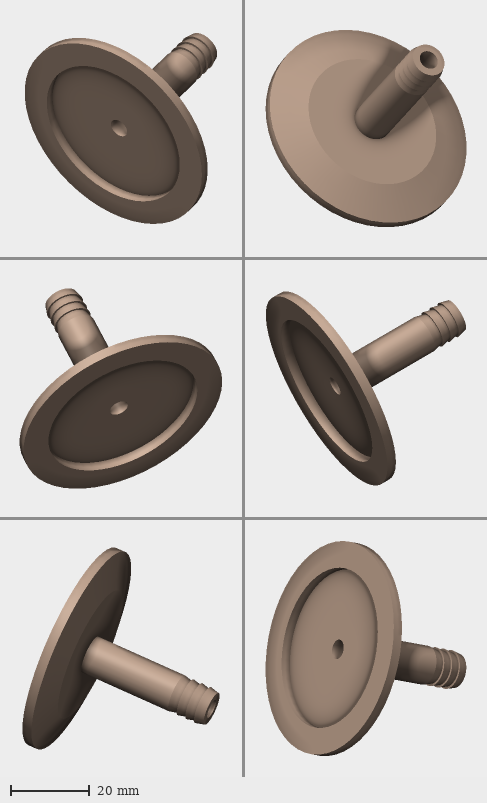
import cadquery as cq
import math

flange_diameter = 55.0
total_length = 40.0

rim_thickness = 2.6
flange_thickness = 5.15
flange_taper_angle = 15.0
recess_diameter = 41.25
recess_depth = 2.6

stem_diameter = 10.0
bore_diameter = 5.0
barb_count = 4
barb_length = 2.5
barb_tip_diameter = 8.8

flange_radius = flange_diameter / 2
stem_radius = stem_diameter / 2
barb_tip_radius = barb_tip_diameter / 2
taper_run = (flange_thickness - rim_thickness) / math.tan(math.radians(flange_taper_angle))
flange_back_radius = flange_radius - taper_run
barbs_start = total_length - barb_count * barb_length


def body_profile():
    """Half section of the solid body as (radius, Y) points, from the flange face to the stem tip."""
    points = [
        (0, 0),
        (flange_radius, 0),
        (flange_radius, rim_thickness),
        (flange_back_radius, flange_thickness),
        (stem_radius, flange_thickness),
        (stem_radius, barbs_start),
    ]
    for barb in range(barb_count):
        barb_base = barbs_start + barb * barb_length
        if barb > 0:
            points.append((stem_radius, barb_base))
        points.append((barb_tip_radius, barb_base + barb_length))
    points.append((0, total_length))
    return points


def cylinder_along_y(diameter, length):
    """Cylinder on the Y axis, starting at the flange face."""
    return cq.Workplane("XZ").circle(diameter / 2).extrude(-length)


body = cq.Workplane("XY").polyline(body_profile()).close().revolve(360, (0, 0, 0), (0, 1, 0))
recess = cylinder_along_y(recess_diameter, recess_depth)
bore = cylinder_along_y(bore_diameter, total_length)

result = body.cut(recess).cut(bore)